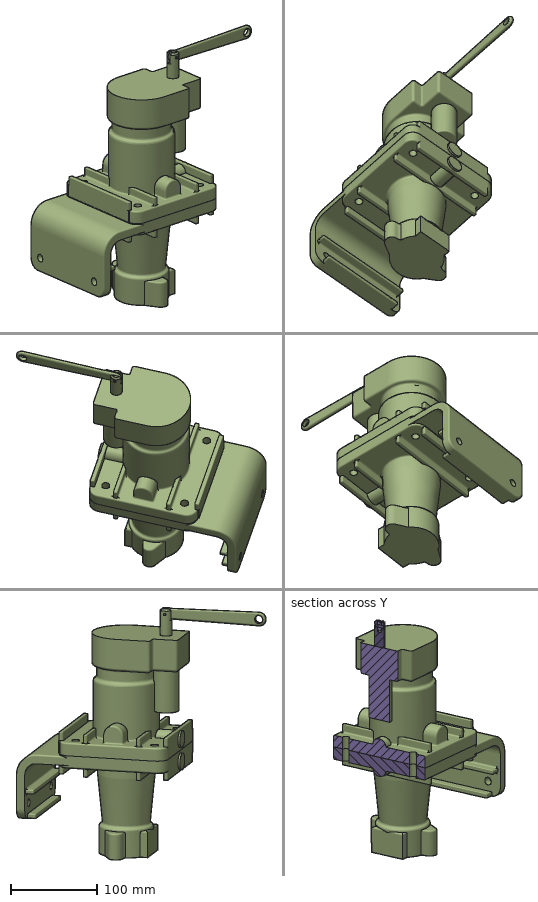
import cadquery as cq
import math

total_height = 294.59
total_length = 282.72
front_y = -114.5
cut_margin = 1.0
joint_z = 125.0

flange_width = 130.0
flange_thickness = 15.0
corner_radius = 13.0
edge_round = 2.0
bolt_diameter = 9.0
bolt_edge_distance = 17.5
bolt_offset = flange_width / 2 - bolt_edge_distance

rib_height = 10.0
rib_thickness = 5.0
rib_tip_round = 1.0
rib_end_round = 1.5
rib_embed = edge_round
rib_root_round = 2.0
inner_rib_offset = 32.0
inner_rib_length = 124.0
edge_rib_length = 106.0
edge_rib_thickness = 5.5
front_pad_depth = 1.5

rear_boss_radius = 10.0
rear_boss_height = 13.3
rear_boss_end = 67.4

side_boss_half_width = 12.0
side_boss_top = 36.4
side_boss_end = 56.0
side_boss_root_round = 2.0

barrel_radius = 77.0 / 2
barrel_top = 204.0
barrel_root_round = 2.0
neck_radius = 34.5
neck_bottom = 210.0
neck_top_round = 2.5
head_bottom = 223.0
head_top = 261.0
head_radius = 40.0
head_step_y = 39.5
head_tab_half_width = 26.5
head_rear_y = 69.0
head_corner_round = 3.0
head_inner_round = 2.0
head_bottom_round = 3.0

crank_y = 48.0
motor_radius = 15.0
motor_bottom = 171.0
motor_edge_round = 1.0

shaft_diameter = 14.0
shaft_top = 292.4
shaft_chamfer = 2.0
slot_bottom = 279.0
lever_thickness = 5.0
eye_radius = 8.2
eye_hole_diameter = 9.5
eye_y = front_y + total_length - eye_radius
lever_end_radius = 6.3
lever_z = total_height - eye_radius
pin_diameter = 2.7
pin_length = 12.0

arm_thickness = 10.5
arm_top = 123.8
bend_radius = 25.0
leg_bottom = 45.0
leg_rib_z = 78.4
leg_rib_length = 123.0
leg_rib_height = 10.0

column_top_radius = 33.6
column_straight_bottom = 94.0
column_bottom_radius = 28.0
column_bottom = 37.0
column_root_round = 2.5
foot_radius = 31.8
foot_shoulder = 31.2
foot_lobe_height = 30.8
lobe_reach = 44.7
lobe_radius = 8.5
lobe_center_y = -2.5
lobe_front_root_y = -18.3
lobe_rear_root_y = 18.0
foot_block_half_width = 22.0
lobe_top_round = 2.0


def rib(length, thickness, height, root_round):
    """Rib along X standing on Z = 0, with rounded ends and tip, and flared roots if root_round is not 0."""
    half = thickness / 2
    body = (
        cq.Workplane("XY").box(length, thickness, height + rib_embed, centered=(True, True, False))
        .translate((0, 0, -rib_embed))
        .edges("|Z").fillet(rib_end_round)
        .faces(">Z").edges().fillet(rib_tip_round)
    )
    if root_round:
        flare = (
            cq.Workplane("YZ").moveTo(-half - root_round, -rib_embed)
            .lineTo(-half - root_round, 0)
            .radiusArc((-half, root_round), -root_round)
            .lineTo(half, root_round)
            .radiusArc((half + root_round, 0), -root_round)
            .lineTo(half + root_round, -rib_embed).close()
            .extrude(length / 2 - rib_end_round, both=True)
        )
        body = body.union(flare)
    return body


def bolt_holes(workplane, points, depth):
    """Bolt-sized rods to cut away, reaching depth to both sides of the workplane."""
    return workplane.pushPoints(points).circle(bolt_diameter / 2).extrude(depth, both=True)


def flange_half():
    """Half flange rising from the joint at Z = 0, with its ribs and rear boss."""
    body = (
        cq.Workplane("XY").rect(flange_width, flange_width).extrude(flange_thickness)
        .edges("|Z").fillet(corner_radius)
        .faces(">Z").edges().fillet(edge_round)
    )
    rear_rib_y = (flange_width - edge_rib_thickness) / 2
    front_rib_y = -rear_rib_y - front_pad_depth
    for inner_y, edge_y in ((-inner_rib_offset, front_rib_y), (inner_rib_offset, rear_rib_y)):
        inner = rib(inner_rib_length, rib_thickness, rib_height, rib_root_round)
        body = body.union(inner.translate((0, inner_y, flange_thickness)))
        edge = rib(edge_rib_length, edge_rib_thickness, rib_height, 0)
        body = body.union(edge.translate((0, edge_y, flange_thickness)))
    rear_boss = (
        cq.Workplane("XZ").center(0, rear_boss_height).circle(rear_boss_radius).extrude(-rear_boss_end)
    )
    return body.union(rear_boss)


def flange_bolt_holes():
    """Four bolt holes through both flange halves."""
    points = [(x, y) for x in (-bolt_offset, bolt_offset) for y in (-bolt_offset, bolt_offset)]
    joint_plane = cq.Workplane("XY", origin=(0, 0, joint_z))
    return bolt_holes(joint_plane, points, flange_thickness + cut_margin)


def side_boss():
    """Arched block across the barrel, reaching out on both sides."""
    half = side_boss_half_width
    return (
        cq.Workplane("YZ").moveTo(-half, 0)
        .lineTo(-half, side_boss_top - half)
        .threePointArc((0, side_boss_top), (half, side_boss_top - half))
        .lineTo(half, 0).close()
        .extrude(side_boss_end, both=True)
        .faces("<X or >X").edges("not <Z").fillet(edge_round)
    )


def barrel():
    """Barrel and neck, turned about the Z axis."""
    base = joint_z + flange_thickness
    shoulder = ((barrel_radius + neck_radius) / 2, (barrel_top + neck_bottom) / 2)
    return (
        cq.Workplane("XZ").moveTo(0, joint_z)
        .lineTo(barrel_radius + barrel_root_round, joint_z)
        .lineTo(barrel_radius + barrel_root_round, base)
        .radiusArc((barrel_radius, base + barrel_root_round), barrel_root_round)
        .lineTo(barrel_radius, barrel_top)
        .tangentArcPoint(shoulder, relative=False)
        .tangentArcPoint((neck_radius, neck_bottom), relative=False)
        .lineTo(neck_radius, head_bottom - neck_top_round)
        .radiusArc((neck_radius + neck_top_round, head_bottom), neck_top_round)
        .lineTo(0, head_bottom).close()
        .revolve(360, (0, 0, 0), (0, 1, 0))
    )


def drive_head():
    """Round-fronted head with a narrower rear tab."""
    body = (
        cq.Workplane("XY", origin=(0, 0, head_bottom))
        .moveTo(-head_radius, 0)
        .threePointArc((0, -head_radius), (head_radius, 0))
        .lineTo(head_radius, head_step_y)
        .lineTo(head_tab_half_width, head_step_y)
        .lineTo(head_tab_half_width, head_rear_y)
        .lineTo(-head_tab_half_width, head_rear_y)
        .lineTo(-head_tab_half_width, head_step_y)
        .lineTo(-head_radius, head_step_y).close()
        .extrude(head_top - head_bottom)
    )
    middle_z = (head_bottom + head_top) / 2
    for side in (-1, 1):
        for x, y, radius in (
            (head_radius, head_step_y, head_corner_round),
            (head_tab_half_width, head_rear_y, head_corner_round),
            (head_tab_half_width, head_step_y, head_inner_round),
        ):
            corner = cq.selectors.NearestToPointSelector((side * x, y, middle_z))
            body = body.edges("|Z").edges(corner).fillet(radius)
    return body.faces("<Z").edges().fillet(head_bottom_round)


def motor_can():
    return (
        cq.Workplane("XY", origin=(0, crank_y, motor_bottom)).circle(motor_radius)
        .extrude(head_bottom + head_bottom_round - motor_bottom)
        .faces("<Z").edges().fillet(motor_edge_round)
    )


def build_upper_housing():
    half = flange_half().union(side_boss())
    root_zone = cq.selectors.BoxSelector(
        (-side_boss_end - cut_margin, -side_boss_half_width - cut_margin, flange_thickness - cut_margin),
        (side_boss_end + cut_margin, side_boss_half_width + cut_margin, flange_thickness + cut_margin),
    )
    half = half.edges(root_zone).fillet(side_boss_root_round)
    front_pad = cq.Workplane("XY").box(
        edge_rib_length, edge_rib_thickness, flange_thickness, centered=(True, False, False)
    )
    half = half.union(front_pad.translate((0, -flange_width / 2 - front_pad_depth, 0)))
    body = half.translate((0, 0, joint_z)).union(barrel()).union(drive_head()).union(motor_can())
    return body.cut(flange_bolt_holes())


def bracket():
    """Arm running forward from the flange and bending down into the bolted leg."""
    inner_radius = bend_radius - arm_thickness
    bend_y = front_y + bend_radius
    bend_z = arm_top - bend_radius
    diagonal = math.sqrt(0.5)
    body = (
        cq.Workplane("YZ").moveTo(0, arm_top)
        .lineTo(bend_y, arm_top)
        .threePointArc((bend_y - bend_radius * diagonal, bend_z + bend_radius * diagonal), (front_y, bend_z))
        .lineTo(front_y, leg_bottom)
        .lineTo(front_y + arm_thickness, leg_bottom)
        .lineTo(front_y + arm_thickness, bend_z)
        .threePointArc(
            (bend_y - inner_radius * diagonal, bend_z + inner_radius * diagonal),
            (bend_y, arm_top - arm_thickness),
        )
        .lineTo(0, arm_top - arm_thickness).close()
        .extrude(flange_width / 2, both=True)
        .faces("<Z").edges("|Y").fillet(corner_radius)
        .faces("<Y").edges("not >Z").fillet(edge_round)
    )
    leg_inner_y = front_y + arm_thickness
    edge_rib_z = leg_bottom + edge_rib_thickness / 2
    for length, thickness, z, root in (
        (leg_rib_length, rib_thickness, leg_rib_z, rib_root_round),
        (edge_rib_length, edge_rib_thickness, edge_rib_z, 0),
    ):
        leg_rib = rib(length, thickness, leg_rib_height, root).rotate((0, 0, 0), (1, 0, 0), -90)
        body = body.union(leg_rib.translate((0, leg_inner_y, z)))
    hole_z = leg_bottom + bolt_edge_distance
    leg_face = cq.Workplane("XZ", origin=(0, front_y, 0))
    leg_bolts = [(-bolt_offset, hole_z), (bolt_offset, hole_z)]
    return body.cut(bolt_holes(leg_face, leg_bolts, arm_thickness + cut_margin))


def column():
    """Tapered column and round foot, turned about the Z axis."""
    base = joint_z - flange_thickness
    shoulder = ((foot_radius + column_bottom_radius) / 2, (foot_shoulder + column_bottom) / 2)
    return (
        cq.Workplane("XZ").lineTo(foot_radius, 0)
        .lineTo(foot_radius, foot_shoulder)
        .tangentArcPoint(shoulder, relative=False)
        .tangentArcPoint((column_bottom_radius, column_bottom), relative=False)
        .lineTo(column_top_radius, column_straight_bottom)
        .lineTo(column_top_radius, base - column_root_round)
        .radiusArc((column_top_radius + column_root_round, base), column_root_round)
        .lineTo(column_top_radius + column_root_round, joint_z)
        .lineTo(0, joint_z).close()
        .revolve(360, (0, 0, 0), (0, 1, 0))
    )


def foot_wall_x(y):
    """X of the foot wall on the -X side at the given Y."""
    return -math.sqrt(foot_radius**2 - y**2)


def foot_lobe():
    """Hooked lobe on the -X side: round tip, straight front flank and hollow rear flank."""
    front_root_x = foot_wall_x(lobe_front_root_y)
    center_x = lobe_radius - lobe_reach
    from_center_x = front_root_x - center_x
    from_center_y = lobe_front_root_y - lobe_center_y
    span = math.hypot(from_center_x, from_center_y)
    tangent_angle = math.atan2(from_center_y, from_center_x) - math.acos(lobe_radius / span)
    tangent_point = (
        center_x + lobe_radius * math.cos(tangent_angle),
        lobe_center_y + lobe_radius * math.sin(tangent_angle),
    )
    return (
        cq.Workplane("XY").lineTo(front_root_x, lobe_front_root_y)
        .lineTo(*tangent_point)
        .threePointArc((-lobe_reach, lobe_center_y), (center_x, lobe_center_y + lobe_radius))
        .tangentArcPoint((foot_wall_x(lobe_rear_root_y), lobe_rear_root_y), relative=False)
        .close()
        .extrude(foot_lobe_height)
        .faces(">Z").edges().fillet(lobe_top_round)
    )


def build_lower_housing():
    half = flange_half().mirror("XY").translate((0, 0, joint_z))
    body = half.union(bracket()).union(column())
    lobe = foot_lobe()
    body = body.union(lobe).union(lobe.mirror("YZ"))
    rear_block = (
        cq.Workplane("XY").rect(2 * foot_block_half_width, foot_radius, centered=(True, False))
        .extrude(foot_lobe_height)
        .faces(">Z").edges().fillet(lobe_top_round)
    )
    body = body.union(rear_block)
    return body.cut(flange_bolt_holes())


def pin_rod(length):
    return (
        cq.Workplane("YZ", origin=(0, crank_y, lever_z)).circle(pin_diameter / 2)
        .extrude(length / 2, both=True)
    )


def build_shaft():
    body = (
        cq.Workplane("XY", origin=(0, crank_y, head_top)).circle(shaft_diameter / 2)
        .extrude(shaft_top - head_top)
        .faces(">Z").edges().chamfer(shaft_chamfer)
    )
    slot = cq.Workplane("XY", origin=(0, crank_y, slot_bottom)).box(
        lever_thickness, shaft_diameter, shaft_top - slot_bottom, centered=(True, True, False)
    )
    return body.cut(slot).cut(pin_rod(shaft_diameter))


def build_lever():
    """Tapered bar with fully rounded edges: a flat core with a round rod along its outline."""
    edge_radius = lever_thickness / 2
    end_inset = lever_end_radius - edge_radius
    eye_inset = eye_radius - edge_radius
    lean = math.asin((eye_inset - end_inset) / (eye_y - crank_y))
    back = -math.sin(lean)
    rise = math.cos(lean)
    end_top = (crank_y + end_inset * back, lever_z + end_inset * rise)
    end_bottom = (crank_y + end_inset * back, lever_z - end_inset * rise)
    outline = (
        cq.Workplane("YZ").moveTo(*end_top)
        .lineTo(eye_y + eye_inset * back, lever_z + eye_inset * rise)
        .threePointArc((eye_y + eye_inset, lever_z), (eye_y + eye_inset * back, lever_z - eye_inset * rise))
        .lineTo(*end_bottom)
        .threePointArc((crank_y - end_inset, lever_z), end_top)
        .close()
    )
    rod_start = cq.Plane(origin=(0, *end_top), xDir=(1, 0, 0), normal=(0, rise, -back))
    rod = cq.Workplane(rod_start).circle(edge_radius).sweep(outline)
    body = outline.extrude(edge_radius, both=True).union(rod)
    eye_hole = (
        cq.Workplane("YZ", origin=(0, eye_y, lever_z)).circle(eye_hole_diameter / 2)
        .extrude(lever_thickness, both=True)
    )
    return body.cut(eye_hole).cut(pin_rod(shaft_diameter))


upper_housing = build_upper_housing()
lower_housing = build_lower_housing()
shaft = build_shaft()
lever = build_lever()
pin = pin_rod(pin_length)

result = cq.Compound.makeCompound(
    [upper_housing.val(), lower_housing.val(), shaft.val(), lever.val(), pin.val()]
)